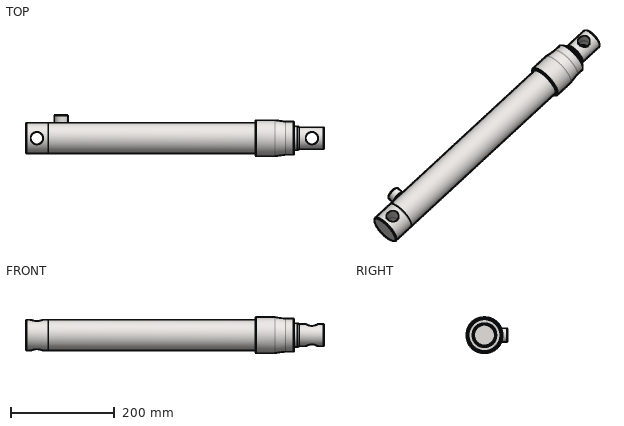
import cadquery as cq


TOTAL_LENGTH = 574.0
BASE_LENGTH = 43.0
HEAD_START = 441.5
TAPER_START = 479.0
TAPER_END = 499.5
HEAD_END = 516.5
COLLAR_END = 522.5
EYE_START = 526.0

BARREL_DIAMETER = 59.5
HEAD_DIAMETER = 70.0
HEAD_NOSE_DIAMETER = 64.5
COLLAR_DIAMETER = 46.5
EYE_DIAMETER = 43.0
PIN_HOLE_DIAMETER = 23.5

BASE_HOLE_X = 21.0
EYE_HOLE_X = 550.5
EDGE_CHAMFER = 2.0

PORT_X = 68.0
PORT_DIAMETER = 27.0
PORT_TOP_Y = 45.0


def cylinder_along_x(start, end, diameter):
    """Solid round bar between two positions on the X axis."""
    return cq.Workplane("YZ", origin=(start, 0, 0)).circle(diameter / 2).extrude(end - start)


def revolve_about_x(profile):
    """Solid of revolution from a closed list of (x, radius) points."""
    return cq.Workplane("XY").polyline(profile).close().revolve(360, (0, 0), (1, 0))


def pin_hole(x):
    """Vertical cutter for a pin hole that crosses the whole cylinder."""
    return (
        cq.Workplane("XY", origin=(x, 0, 0))
        .circle(PIN_HOLE_DIAMETER / 2)
        .extrude(HEAD_DIAMETER, both=True)
    )


def make_base():
    """End plug with a chamfered outer rim and a pin hole."""
    plug = cylinder_along_x(0, BASE_LENGTH, BARREL_DIAMETER)
    plug = plug.faces("<X").chamfer(EDGE_CHAMFER)
    return plug.cut(pin_hole(BASE_HOLE_X))


def make_barrel():
    """Plain barrel between the base and the head."""
    return cylinder_along_x(BASE_LENGTH, HEAD_START, BARREL_DIAMETER)


def make_port():
    """Flat-ended round port boss that rests against the side of the barrel."""
    height = PORT_TOP_Y - BARREL_DIAMETER / 2
    boss = cq.Workplane("XZ", origin=(PORT_X, PORT_TOP_Y, 0)).circle(PORT_DIAMETER / 2).extrude(height)
    return boss.faces(">Y").chamfer(EDGE_CHAMFER)


def make_head():
    """Head that tapers to a smaller nose, with both ends chamfered."""
    head_radius = HEAD_DIAMETER / 2
    nose_radius = HEAD_NOSE_DIAMETER / 2
    return revolve_about_x([
        (HEAD_START, 0),
        (HEAD_START, head_radius - EDGE_CHAMFER),
        (HEAD_START + EDGE_CHAMFER, head_radius),
        (TAPER_START, head_radius),
        (TAPER_END, nose_radius),
        (HEAD_END - EDGE_CHAMFER, nose_radius),
        (HEAD_END, nose_radius - EDGE_CHAMFER),
        (HEAD_END, 0),
    ])


def make_rod():
    """Rod end: a short collar stepping down to an eye with a pin hole."""
    collar_radius = COLLAR_DIAMETER / 2
    eye_radius = EYE_DIAMETER / 2
    rod = revolve_about_x([
        (HEAD_END, 0),
        (HEAD_END, collar_radius),
        (COLLAR_END, collar_radius),
        (EYE_START, eye_radius),
        (TOTAL_LENGTH - EDGE_CHAMFER, eye_radius),
        (TOTAL_LENGTH, eye_radius - EDGE_CHAMFER),
        (TOTAL_LENGTH, 0),
    ])
    return rod.cut(pin_hole(EYE_HOLE_X))


base = make_base()
barrel = make_barrel()
port = make_port()
head = make_head()
rod = make_rod()

result = cq.Compound.makeCompound([base.val(), barrel.val(), port.val(), head.val(), rod.val()])